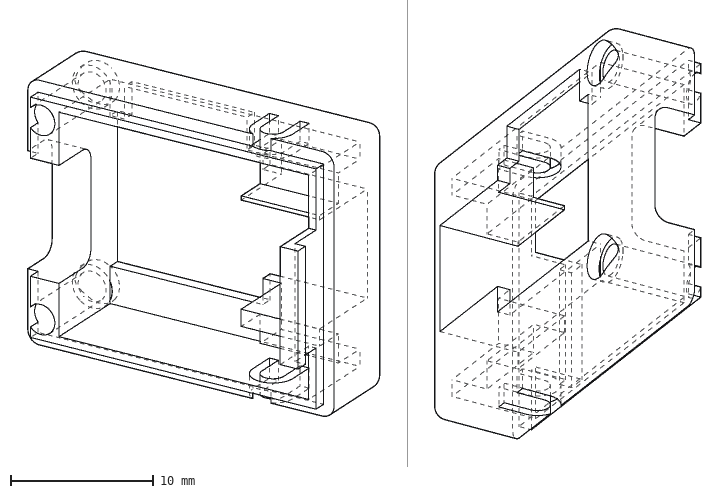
import cadquery as cq

length = 25.35
height = 20.3
body_depth = 6.77
edge_radius = 1.0

lip_depth = 7.78
lip_inset_x = 0.85
lip_inset_z = 0.95

floor_thickness = 1.0
left_wall = 3.22
right_wall = 1.47
side_wall = 1.55
cavity_right = length - right_wall
cavity_length = cavity_right - left_wall

window_top = 18.48
window_step_top = 15.97
window_bottom = 4.4
window_upper_left = 4.4
window_upper_right = 14.55
shelf_left = 15.85
upper_shelf_edge = 14.78
lower_shelf_edge = 6.41

plate_left = 17.4
plate_depth = 6.35
leg_depth = 3.83
leg_clearance = 2.86
upper_plate_thickness = 0.33
lower_plate_thickness = 1.32

opening_margin = 5.63
opening_height = height - 2 * opening_margin
opening_start = 3.55
opening_radius = 1.1
latch_depth = 11.55
latch_hook_thickness = 1.0

screw_diameter = 2.3
counterbore_diameter = 3.3
counterbore_depth = floor_thickness
screw_x = 1.72
screw_inset_z = 2.5

slot_center_x = 19.37
slot_outer_diameter = 3.3
tongue_width = 1.8
slot_start = 3.12
slot_arc_depth = 5.3


def block(x_min, x_max, depth_min, depth_max, z_min, z_max):
    """Box between two X positions, two depths and two heights."""
    return cq.Workplane("XY").box(
        x_max - x_min, depth_max - depth_min, z_max - z_min, centered=False
    ).translate((x_min, -depth_max, z_min))


def make_shell():
    """Rounded body with its front lip, hollowed from the front."""
    body = block(0, length, 0, body_depth, 0, height)
    body = body.edges("|Y").fillet(edge_radius)
    body = body.faces(">Y").edges().fillet(edge_radius)
    lip = block(
        lip_inset_x, length - lip_inset_x, floor_thickness, lip_depth, lip_inset_z, height - lip_inset_z
    )
    cavity = block(left_wall, cavity_right, floor_thickness, lip_depth, side_wall, height - side_wall)
    return body.union(lip).cut(cavity)


def make_window():
    """Stepped opening through the rear floor."""
    return (
        cq.Workplane("XZ")
        .moveTo(left_wall, window_bottom)
        .lineTo(shelf_left, window_bottom)
        .lineTo(shelf_left, lower_shelf_edge)
        .lineTo(cavity_right, lower_shelf_edge)
        .lineTo(cavity_right, upper_shelf_edge)
        .lineTo(shelf_left, upper_shelf_edge)
        .lineTo(shelf_left, window_step_top)
        .lineTo(window_upper_right, window_step_top)
        .lineTo(window_upper_right, window_top)
        .lineTo(window_upper_left, window_top)
        .lineTo(window_upper_left, window_step_top)
        .lineTo(left_wall, window_step_top)
        .close()
        .extrude(floor_thickness)
    )


def make_shelf(plate_bottom, plate_top, leg_bottom, leg_top):
    """Deep plate joined to its shorter leg, running from the floor toward the front."""
    plate = block(plate_left, cavity_right, floor_thickness, plate_depth, plate_bottom, plate_top)
    leg = block(plate_left, cavity_right, floor_thickness, leg_depth, leg_bottom, leg_top)
    return plate.union(leg)


def make_cable_opening():
    """Front-open notch through the left wall with rounded inner corners."""
    notch = block(
        0, left_wall, opening_start, lip_depth, opening_margin, opening_margin + opening_height
    )
    return notch.edges("|X and >Y").fillet(opening_radius)


def make_latch():
    """Tab on the right wall ending in an outward hook."""
    z_max = opening_margin + opening_height
    tab = block(cavity_right, length - lip_inset_x, floor_thickness, latch_depth, opening_margin, z_max)
    hook_start = latch_depth - latch_hook_thickness
    hook = block(cavity_right, length, hook_start, latch_depth, opening_margin, z_max)
    return tab.union(hook)


def make_screw_hole(center_z):
    """Through hole with a counterbore in the rear face."""
    plane = cq.Workplane("XZ").center(screw_x, center_z)
    hole = plane.circle(screw_diameter / 2).extrude(lip_depth)
    counterbore = plane.circle(counterbore_diameter / 2).extrude(counterbore_depth)
    return hole.union(counterbore)


def make_tongue_outline(width):
    """Straight-sided strip with a round front end, extruded through the full height."""
    radius = width / 2
    return (
        cq.Workplane("XY")
        .moveTo(slot_center_x - radius, -slot_start)
        .lineTo(slot_center_x - radius, -slot_arc_depth)
        .threePointArc(
            (slot_center_x, -slot_arc_depth - radius),
            (slot_center_x + radius, -slot_arc_depth),
        )
        .lineTo(slot_center_x + radius, -slot_start)
        .close()
        .extrude(side_wall)
    )


def make_tongue_slot(wall_bottom):
    """U-shaped slot through one long wall."""
    slot = make_tongue_outline(slot_outer_diameter).cut(make_tongue_outline(tongue_width))
    return slot.translate((0, 0, wall_bottom))


result = make_shell().cut(make_window())

upper_plate_top = upper_shelf_edge + upper_plate_thickness
lower_plate_bottom = lower_shelf_edge - lower_plate_thickness
result = result.union(
    make_shelf(upper_shelf_edge, upper_plate_top, upper_plate_top, height - leg_clearance)
)
result = result.union(
    make_shelf(lower_plate_bottom, lower_shelf_edge, leg_clearance, lower_plate_bottom)
)

result = result.cut(make_cable_opening()).union(make_latch())

for hole_z in (screw_inset_z, height - screw_inset_z):
    result = result.cut(make_screw_hole(hole_z))

for wall_z in (0, height - side_wall):
    result = result.cut(make_tongue_slot(wall_z))